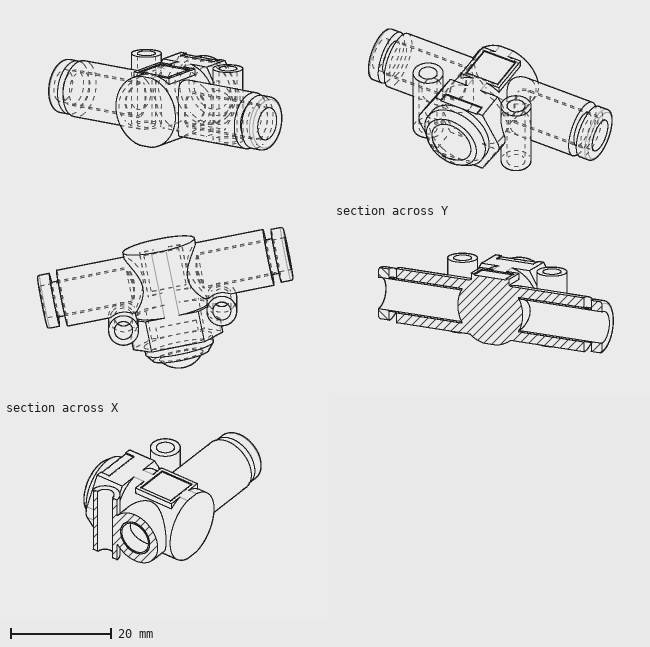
import cadquery as cq
import math


body_radius = 7.3
body_front_y = -6.7
body_half_height = 7.15

hex_front_y = 6.7
hex_back_y = 12.95
hex_corner_x = 9.5
hex_side_angle = math.radians(30)
hex_corner_fillet = 2.55
hex_top_half_width = hex_corner_x - body_half_height * math.tan(hex_side_angle)

notch_half_width = 4.1
notch_length = 2.05
notch_depth = 0.25

cap_radius = 6.9
cap_back_y = 16.05
cap_bevel_width = 1.2
cap_bevel_length = 1.5
dome_base_radius = 4.45
dome_back_y = 18.5

overall_length = 50.0
tube_radius = 5.7
tube_end_x = 21.0

collar_radius = 5.4
collar_sleeve_radius = 3.55
collar_bore_radius = 3.25
collar_flange_width = 2.45
collar_rim_fillet = 0.5
collar_outer_x = overall_length / 2
collar_flange_x = collar_outer_x - collar_flange_width

lug_x = 10.0
lug_y = 7.5
lug_radius = 3.0
lug_hole_radius = 1.8
lug_half_height = 7.4

plate_half_width = 4.3
plate_front_y = -4.75
plate_back_y = 4.2
panel_half_width = 3.55
panel_front_y = -4.0
panel_back_y = 3.45
panel_depth = 0.25


def box_between(x_range, y_range, z_range):
    """Axis-aligned box given by its limits along X, Y and Z."""
    size = [high - low for low, high in (x_range, y_range, z_range)]
    corner = (x_range[0], y_range[0], z_range[0])
    return cq.Workplane("XY").box(*size, centered=False).translate(corner)


def y_prism(outline, front_y, back_y):
    """Extrude along Y the closed XZ outline that `outline` draws on a plane."""
    plane = cq.Workplane("XZ", origin=(0, front_y, 0))
    return outline(plane).extrude(front_y - back_y)


def x_cylinder(radius, start_x, end_x):
    """Cylinder along the tube axis."""
    return cq.Workplane("YZ", origin=(start_x, 0, 0)).circle(radius).extrude(end_x - start_x)


def make_main_body():
    """Cylinder along Y, trimmed by flats at the top and bottom."""
    cylinder = y_prism(lambda plane: plane.circle(body_radius), body_front_y, hex_front_y)
    slab = box_between(
        (-body_radius, body_radius),
        (body_front_y, hex_front_y),
        (-body_half_height, body_half_height),
    )
    return cylinder.intersect(slab)


def make_hex_section():
    """Hexagonal prism with rounded side corners and a notch in its top flat."""
    corners = [
        (-hex_top_half_width, body_half_height),
        (hex_top_half_width, body_half_height),
        (hex_corner_x, 0),
        (hex_top_half_width, -body_half_height),
        (-hex_top_half_width, -body_half_height),
        (-hex_corner_x, 0),
    ]
    prism = y_prism(lambda plane: plane.polyline(corners).close(), hex_front_y, hex_back_y)
    prism = prism.edges("<X or >X").fillet(hex_corner_fillet)
    notch = box_between(
        (-notch_half_width, notch_half_width),
        (hex_back_y - notch_length, hex_back_y),
        (body_half_height - notch_depth, body_half_height),
    )
    return prism.cut(notch)


def make_cap():
    """Cap and spherical dome, revolved about the Y axis."""
    dome_height = dome_back_y - cap_back_y
    sphere_radius = (dome_base_radius**2 + dome_height**2) / (2 * dome_height)
    arc_half_angle = math.asin(dome_base_radius / sphere_radius) / 2
    arc_middle = (
        sphere_radius * math.sin(arc_half_angle),
        dome_back_y - sphere_radius * (1 - math.cos(arc_half_angle)),
    )
    return (
        cq.Workplane("XY")
        .moveTo(0, hex_back_y)
        .lineTo(cap_radius, hex_back_y)
        .lineTo(cap_radius, cap_back_y - cap_bevel_length)
        .lineTo(cap_radius - cap_bevel_width, cap_back_y)
        .lineTo(dome_base_radius, cap_back_y)
        .threePointArc(arc_middle, (0, dome_back_y))
        .close()
        .revolve(360, (0, 0, 0), (0, 1, 0))
    )


def make_tube_arm(side):
    """Hollow tube, bored to take a collar's sleeve."""
    end_x = side * tube_end_x
    return x_cylinder(tube_radius, 0, end_x).cut(x_cylinder(collar_sleeve_radius, 0, end_x))


def make_label_plate():
    """Plate flush with the body's top flat."""
    return box_between(
        (-plate_half_width, plate_half_width),
        (plate_front_y, plate_back_y),
        (0, body_half_height),
    )


def make_label_panel():
    """Shallow recess in the label plate."""
    return box_between(
        (-panel_half_width, panel_half_width),
        (panel_front_y, panel_back_y),
        (body_half_height - panel_depth, body_half_height),
    )


def lug_cylinder(side, radius):
    """Full-height vertical cylinder at one mounting lug."""
    plane = cq.Workplane("XY", origin=(side * lug_x, lug_y, -lug_half_height))
    return plane.circle(radius).extrude(2 * lug_half_height)


def make_housing():
    """Body, hexagon, cap, tube arms, lugs and label plate in one piece."""
    housing = make_main_body().union(make_hex_section()).union(make_cap()).union(make_label_plate())
    for side in (-1, 1):
        housing = housing.union(make_tube_arm(side))
        housing = housing.union(lug_cylinder(side, lug_radius))
    for side in (-1, 1):
        housing = housing.cut(lug_cylinder(side, lug_hole_radius))
    return housing.cut(make_label_panel())


def make_collar(side):
    """Flanged release collar whose sleeve reaches the round wall of the main body."""
    outer_x = side * collar_outer_x
    flange_x = side * collar_flange_x
    flange = x_cylinder(collar_radius, flange_x, outer_x)
    flange = flange.edges(">X" if side > 0 else "<X").fillet(collar_rim_fillet)
    sleeve = x_cylinder(collar_sleeve_radius, 0, flange_x)
    bore = x_cylinder(collar_bore_radius, 0, outer_x)
    return flange.union(sleeve).cut(bore).cut(make_main_body())


housing = make_housing()
collars = [make_collar(side) for side in (-1, 1)]

result = cq.Compound.makeCompound([housing.val(), *[collar.val() for collar in collars]])